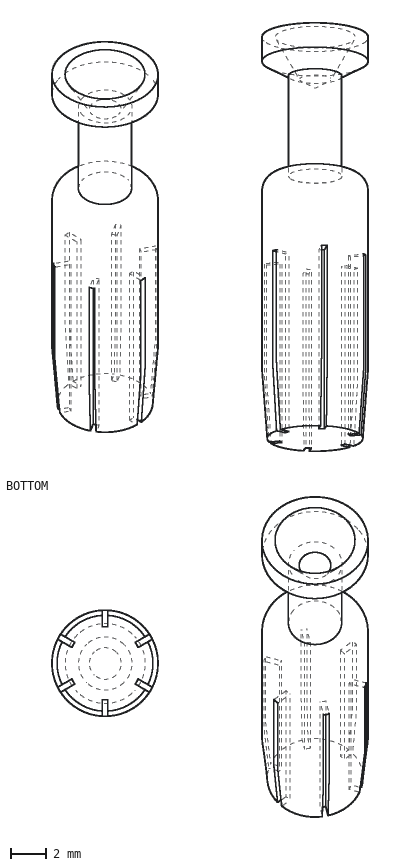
import cadquery as cq
import math

total_height = 23.5
body_radius = 2.996
head_radius = body_radius

body_top = 15.49
shoulder_radius = 1.0
taper_height = 4.0
tip_radius = 2.7

neck_radius = 1.5
head_underside = 21.22
head_rim_bottom = 22.07

dish_radius = 2.25
dish_floor_radius = 0.9
dish_depth = 2.47
dish_point_depth = 0.52

groove_count = 6
first_groove_angle = 30.0
groove_width = 0.33
groove_height = 10.48
core_radius = 2.07


def make_solid_of_revolution():
    """Sleeve, neck and dished head as one revolved half-profile."""
    shoulder_base = body_top - shoulder_radius
    crown_radius = body_radius - shoulder_radius
    neck_bottom = shoulder_base + math.sqrt(shoulder_radius**2 - (crown_radius - neck_radius) ** 2)
    dish_floor = total_height - dish_depth
    return (
        cq.Workplane("XZ")
        .lineTo(tip_radius, 0)
        .lineTo(body_radius, taper_height)
        .lineTo(body_radius, shoulder_base)
        .threePointArc((crown_radius, body_top), (neck_radius, neck_bottom))
        .lineTo(neck_radius, head_underside)
        .lineTo(head_radius, head_rim_bottom)
        .lineTo(head_radius, total_height)
        .lineTo(dish_radius, total_height)
        .lineTo(dish_floor_radius, dish_floor)
        .lineTo(0, dish_floor - dish_point_depth)
        .close()
        .revolve(360, (0, 0, 0), (0, 1, 0))
    )


def make_grooves():
    """Radial cutters that stop at the round core and open at the lower end."""
    groove = cq.Workplane("XY").box(
        2 * body_radius, groove_width, groove_height, centered=(False, True, False)
    )
    core = cq.Workplane("XY").circle(core_radius).extrude(groove_height)
    groove = groove.cut(core)
    grooves = cq.Workplane("XY")
    for index in range(groove_count):
        angle = first_groove_angle + index * 360.0 / groove_count
        grooves = grooves.add(groove.rotate((0, 0, 0), (0, 0, 1), angle))
    return grooves.combine()


result = make_solid_of_revolution().cut(make_grooves())